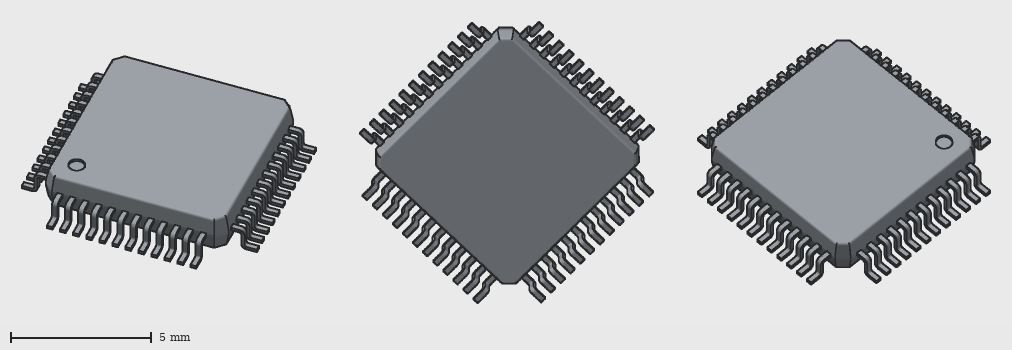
import cadquery as cq

lead_span = 9.0
package_height = 1.5
standoff = 0.1

body_width = 7.01
corner_cut = 0.4
draft_angle = 10.0
edge_radius = 0.1

mark_diameter = 0.6
mark_depth = 0.1
mark_position = -2.54

leads_per_side = 12
row_length = 5.5
row_shift = -0.045
lead_width = 0.22
lead_thickness = 0.13
bend_inner_radius = 0.07
shoulder_height = 0.855
shank_span = 8.055
lead_embed = 0.18

shoulder_underside = shoulder_height - lead_thickness
bend_outer_radius = bend_inner_radius + lead_thickness
lead_pitch = row_length / (leads_per_side - 1)


def body_prism(base_height, height, taper):
    """Square with cut corners, extruded from base_height and narrowing by taper."""
    half = body_width / 2
    flat = half - corner_cut
    outline = [(half, flat), (flat, half), (-flat, half), (-half, flat),
               (-half, -flat), (-flat, -half), (flat, -half), (half, -flat)]
    base = cq.Workplane("XY").workplane(offset=base_height)
    return base.polyline(outline).close().extrude(height, taper=taper)


def make_body():
    """Body with rounded top and bottom rims and the recessed pin 1 mark."""
    band = body_prism(shoulder_underside, lead_thickness, 0)
    upper = body_prism(shoulder_height, package_height - shoulder_height, draft_angle)
    lower = body_prism(shoulder_underside, standoff - shoulder_underside, draft_angle)
    upper = upper.faces(">Z").edges().fillet(edge_radius)
    lower = lower.faces("<Z").edges().fillet(edge_radius)
    mark = (
        cq.Workplane("XY")
        .workplane(offset=package_height - mark_depth)
        .center(mark_position, mark_position)
        .circle(mark_diameter / 2)
        .extrude(mark_depth)
    )
    return band.union(upper).union(lower).cut(mark)


def make_lead():
    """One lead pointing along +X, centred on Y = 0: shoulder, shank and foot."""
    tip = lead_span / 2
    root = body_width / 2 - lead_embed
    shank_outer = shank_span / 2
    shank_inner = shank_outer - lead_thickness
    profile = (
        cq.Workplane("XZ")
        .moveTo(root, shoulder_height)
        .lineTo(shank_outer - bend_outer_radius, shoulder_height)
        .radiusArc((shank_outer, shoulder_height - bend_outer_radius), bend_outer_radius)
        .lineTo(shank_outer, lead_thickness + bend_inner_radius)
        .radiusArc((shank_outer + bend_inner_radius, lead_thickness), -bend_inner_radius)
        .lineTo(tip, lead_thickness)
        .lineTo(tip, 0)
        .lineTo(shank_inner + bend_outer_radius, 0)
        .radiusArc((shank_inner, bend_outer_radius), bend_outer_radius)
        .lineTo(shank_inner, shoulder_underside - bend_inner_radius)
        .radiusArc((shank_inner - bend_inner_radius, shoulder_underside), -bend_inner_radius)
        .lineTo(root, shoulder_underside)
        .close()
    )
    return profile.extrude(lead_width / 2, both=True)


def make_leads():
    """Rows on all four sides; every row is shifted the same way in X and in Y."""
    right_lead = make_lead()
    left_lead = right_lead.mirror("YZ")
    back_lead = right_lead.rotate((0, 0, 0), (0, 0, 1), 90)
    front_lead = back_lead.mirror("XZ")
    leads = []
    for index in range(leads_per_side):
        place = row_shift - row_length / 2 + index * lead_pitch
        for lead in (right_lead, left_lead):
            leads.append(lead.translate((0, place, 0)).val())
        for lead in (back_lead, front_lead):
            leads.append(lead.translate((place, 0, 0)).val())
    return leads


result = cq.Workplane(make_body().val().fuse(*make_leads()))